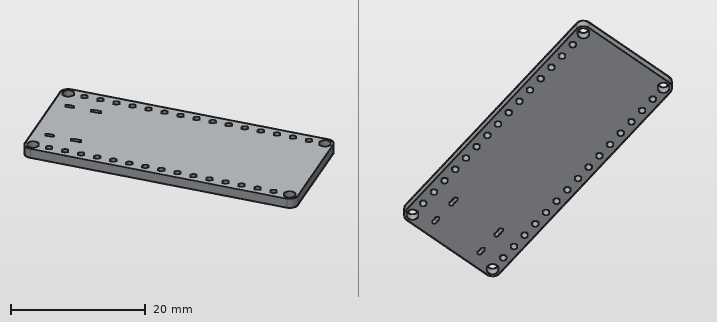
import cadquery as cq

length = 43.2
width = 17.8
thickness = 1.6

mount_diameter = 1.75
mount_span_x = 40.65
corner_radius = (length - mount_span_x) / 2

pin_diameter = 1.0
pins_per_row = 15
pitch = mount_span_x / (pins_per_row + 1)
row_pitches = 6
row_spacing = row_pitches * pitch

slot_width = 0.6
slot_spacing_y = 8.65
slots = [(-18.9, 1.4), (-14.72, 1.7)]


def make_plate():
    plate = cq.Workplane("XY").box(length, width, thickness, centered=(True, True, False))
    return plate.edges("|Z").fillet(corner_radius)


def cut_mount_holes(body):
    corners = body.faces(">Z").workplane(origin=(0, 0, 0)).rarray(mount_span_x, row_spacing, 2, 2)
    return corners.hole(mount_diameter)


def cut_pin_holes(body):
    pins = body.faces(">Z").workplane(origin=(0, 0, 0)).rarray(pitch, row_spacing, pins_per_row, 2)
    return pins.hole(pin_diameter)


def cut_slots(body):
    for slot_x, slot_length in slots:
        for side in (-1, 1):
            centre = (slot_x, side * slot_spacing_y / 2)
            top = body.faces(">Z").workplane(origin=(0, 0, 0))
            body = top.center(*centre).slot2D(slot_length, slot_width).cutThruAll()
    return body


result = cut_slots(cut_pin_holes(cut_mount_holes(make_plate())))